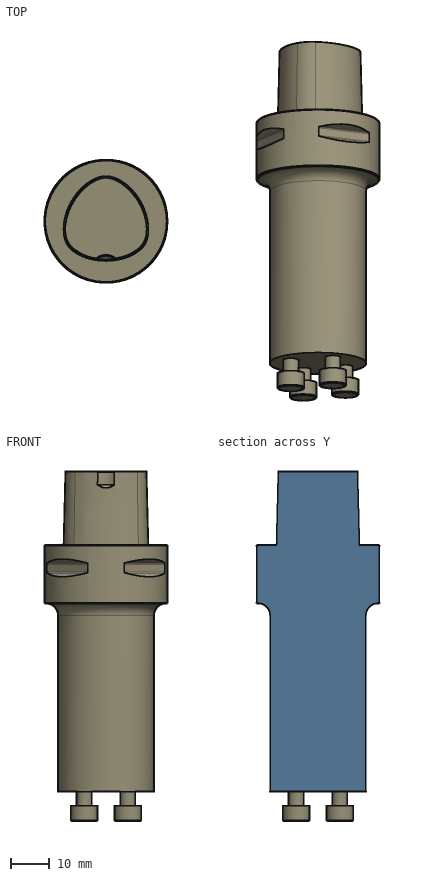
import cadquery as cq
import math

TOTAL_HEIGHT = 90.6
SHANK_LENGTH = 19.0
COLLAR_HEIGHT = 15.2
BODY_BOTTOM_Z = 7.6
COLLAR_TOP_Z = TOTAL_HEIGHT - SHANK_LENGTH
COLLAR_BOTTOM_Z = COLLAR_TOP_Z - COLLAR_HEIGHT

COLLAR_RADIUS = 32.0 / 2
COLLAR_CHAMFER = 0.3
BODY_RADIUS = 25.0 / 2
NECK_FILLET = 3.0

SHANK_MEAN_RADIUS = 22.0 / 2
SHANK_LOBE = 0.7
SHANK_TAPER = 1 / 20
LOBE_COUNT = 3
LOBE_HALF_SPAN = math.radians(23)
POINTS_PER_FACE = 9

NOTCH_RADIUS = 3.4
NOTCH_AXIS_Y = -12.4
NOTCH_DEPTH = 3.4
NOTCH_POINT_HEIGHT = 3.0
NOTCH_CHAMFER = 0.3

GROOVE_COUNT = 4
GROOVE_MID_Z = 65.6
GROOVE_FLOOR_RADIUS = 14.1
GROOVE_FLOOR_WIDTH = 2.45
GROOVE_FLOOR_FILLET = 0.4
GROOVE_FLANK_SLOPE = math.tan(math.radians(30))

SCREWS_PER_SIDE = 2
SCREW_SPACING = 11.3
SCREW_SHANK_RADIUS = 4.0 / 2
SCREW_HEAD_RADIUS = 7.0 / 2
SCREW_HEAD_HEIGHT = 4.0
SCREW_HEAD_CHAMFER = 0.3


def turned_body():
    """Collar and cylindrical body, revolved about Z, with a concave neck between them."""
    neck_outer = BODY_RADIUS + NECK_FILLET
    neck_bottom_z = COLLAR_BOTTOM_Z - NECK_FILLET
    arc_inset = NECK_FILLET * (1 - math.sqrt(0.5))
    return (
        cq.Workplane("XZ")
        .moveTo(0, BODY_BOTTOM_Z)
        .lineTo(BODY_RADIUS, BODY_BOTTOM_Z)
        .lineTo(BODY_RADIUS, neck_bottom_z)
        .threePointArc(
            (BODY_RADIUS + arc_inset, COLLAR_BOTTOM_Z - arc_inset),
            (neck_outer, COLLAR_BOTTOM_Z),
        )
        .lineTo(COLLAR_RADIUS - COLLAR_CHAMFER, COLLAR_BOTTOM_Z)
        .lineTo(COLLAR_RADIUS, COLLAR_BOTTOM_Z + COLLAR_CHAMFER)
        .lineTo(COLLAR_RADIUS, COLLAR_TOP_Z - COLLAR_CHAMFER)
        .lineTo(COLLAR_RADIUS - COLLAR_CHAMFER, COLLAR_TOP_Z)
        .lineTo(0, COLLAR_TOP_Z)
        .close()
        .revolve(360, (0, 0, 0), (0, 1, 0))
    )


def shank_point(mean_radius, angle, z):
    """Point of the lobed curve; one lobe tip points to +Y, where the angle is zero."""
    along = mean_radius * math.cos(angle) + SHANK_LOBE * (2 * math.cos(2 * angle) - math.cos(4 * angle))
    across = mean_radius * math.sin(angle) - SHANK_LOBE * (2 * math.sin(2 * angle) + math.sin(4 * angle))
    return cq.Vector(-across, along, z)


def shank_outline(mean_radius, z):
    """Closed lobed wire with one edge per lobe and one per flank."""
    pitch = 2 * math.pi / LOBE_COUNT
    edges = []
    for lobe in range(LOBE_COUNT):
        tip = lobe * pitch
        lobe_end = tip + LOBE_HALF_SPAN
        for start, end in ((tip - LOBE_HALF_SPAN, lobe_end), (lobe_end, tip + pitch - LOBE_HALF_SPAN)):
            step = (end - start) / (POINTS_PER_FACE - 1)
            points = [shank_point(mean_radius, start + i * step, z) for i in range(POINTS_PER_FACE)]
            edges.append(cq.Edge.makeSpline(points))
    return cq.Wire.assembleEdges(edges)


def tapered_shank():
    """Shank narrowing evenly from the collar to its free end."""
    end_radius = SHANK_MEAN_RADIUS - SHANK_LENGTH * SHANK_TAPER / 2
    base = shank_outline(SHANK_MEAN_RADIUS, COLLAR_TOP_Z)
    end = shank_outline(end_radius, TOTAL_HEIGHT)
    return cq.Workplane(cq.Solid.makeLoft([base, end], True))


def orientation_notch():
    """Drill-shaped cutter: a cylinder with a conical point and a flared rim."""
    cone_top_z = TOTAL_HEIGHT - NOTCH_DEPTH
    return (
        cq.Workplane("XZ")
        .moveTo(0, cone_top_z - NOTCH_POINT_HEIGHT)
        .lineTo(NOTCH_RADIUS, cone_top_z)
        .lineTo(NOTCH_RADIUS, TOTAL_HEIGHT - NOTCH_CHAMFER)
        .lineTo(NOTCH_RADIUS + NOTCH_CHAMFER, TOTAL_HEIGHT)
        .lineTo(0, TOTAL_HEIGHT)
        .close()
        .revolve(360, (0, 0, 0), (0, 1, 0))
        .translate((0, NOTCH_AXIS_Y, 0))
    )


def gripper_groove():
    """Flat-floored groove cutter with flared flanks and rounded floor corners, on the +X side."""
    floor_half = GROOVE_FLOOR_WIDTH / 2
    mouth_half = floor_half + (COLLAR_RADIUS - GROOVE_FLOOR_RADIUS) * GROOVE_FLANK_SLOPE
    return (
        cq.Workplane("XZ")
        .polyline([
            (GROOVE_FLOOR_RADIUS, GROOVE_MID_Z - floor_half),
            (COLLAR_RADIUS, GROOVE_MID_Z - mouth_half),
            (COLLAR_RADIUS, GROOVE_MID_Z + mouth_half),
            (GROOVE_FLOOR_RADIUS, GROOVE_MID_Z + floor_half),
        ])
        .close()
        .extrude(COLLAR_RADIUS, both=True)
        .edges("|Y and <X")
        .fillet(GROOVE_FLOOR_FILLET)
    )


def screw_cylinders(radius, height):
    """One upright cylinder, standing on Z = 0, at each screw position."""
    return (
        cq.Workplane("XY")
        .rarray(SCREW_SPACING, SCREW_SPACING, SCREWS_PER_SIDE, SCREWS_PER_SIDE)
        .circle(radius)
        .extrude(height)
    )


def cap_screws():
    """Four screws with their chamfered heads down."""
    heads = screw_cylinders(SCREW_HEAD_RADIUS, SCREW_HEAD_HEIGHT).faces("<Z").chamfer(SCREW_HEAD_CHAMFER)
    return heads.union(screw_cylinders(SCREW_SHANK_RADIUS, BODY_BOTTOM_Z))


result = turned_body().union(tapered_shank()).union(cap_screws())
result = result.cut(orientation_notch())
for index in range(GROOVE_COUNT):
    groove_angle = (index + 0.5) * 360 / GROOVE_COUNT
    result = result.cut(gripper_groove().rotate((0, 0, 0), (0, 0, 1), groove_angle))